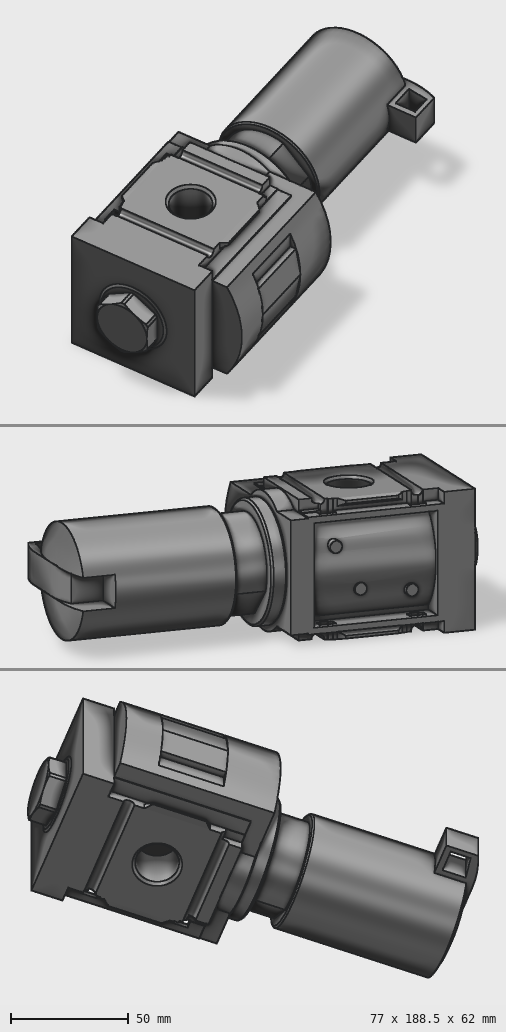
import cadquery as cq
import math


BLOCK_SIDE = 62.0
HALF = BLOCK_SIDE / 2
TOTAL_WIDTH = 77.0
TOTAL_LENGTH = 188.5
BLOCK_LENGTH = 76.3
FRONT_LENGTH = 14.1
REAR_FACE = 84.3

BRACKET_HEIGHT = 50.5
BULGE_RADIUS = TOTAL_WIDTH - HALF
CROWN_CHORD = 30.0
CROWN_TOP = 30.5

SHELF_INNER_X = 24.1
SHELF_Z = 25.8
NOTCH_INNER_X = 20.2
NOTCH_FRONT = 67.5
NOTCH_Z = 26.2

PORT_Y = 45.5
PORT_DIAMETER = 18.7
PORT_MOUTH_DIAMETER = 21.3
PORT_CHAMFER = 1.3
PORT_DEPTH = 22.6
GROOVE_RADIUS = 2.5
GROOVE_YS = (23.5, 68.0)
SLOT_YS = (24.7, 66.0)
SLOT_OUTER_X = 27.7
SLOT_INNER_X = 23.8
SLOT_LENGTH = 7.5
SLOT_RELIEF_X = 22.8
SLOT_RELIEF_LENGTH = 3.4
RAIL_LENGTH = 29.8
RAIL_TIP_X = 27.0
RAIL_BOTTOM_Z = 27.5
RAIL_TIP_BOTTOM_Z = 29.0
RAIL_TIP_TOP_Z = 30.3

WINDOW_FRONT = 17.2
WINDOW_REAR = 73.5
WINDOW_HEIGHT = 46.0
WINDOW_FLOOR_X = -20.5
DRUM_RADIUS = 29.2
STUD_DIAMETER = 5.5
STUDS = ((63.0, 11.1, -29.6), (51.5, -8.5, -29.2), (28.0, -11.1, -29.6))

FINGER_FRONT = 30.7
FINGER_REAR = 60.3
FINGER_FLOOR_X = 40.7
FINGER_LEDGE_X = 43.5
FINGER_LEDGE_Z = 13.8

PLUG_LENGTH = 8.7
PLUG_SIDES = 6
PLUG_FLATS = 25.0
PLUG_CORNER_DIAMETER = 28.0
PLUG_CHAMFER_LENGTH = 0.5
PLUG_CHAMFER_WIDTH = 1.5
COLLAR_DIAMETER = 34.0
COLLAR_TIP_DIAMETER = 31.3
COLLAR_LENGTH = 0.5

KNOB_END = TOTAL_LENGTH - PLUG_LENGTH
FLANGE_DIAMETER = 55.0
FLANGE_END = 91.6
FLANGE_CHAMFER = 1.0
NECK_DIAMETER = 44.0
NECK_FLATS = 40.0
NECK_FLAT_ANGLE = 45
GRIP_DIAMETER = 51.0
GRIP_START = 106.5
GRIP_CHAMFER = 0.8
DOME_HEIGHT = 3.2
DOME_CAP_DIAMETER = 18.8
SLIDE_START = 162.1
SLIDE_HEIGHT = 14.7
SLIDE_MIN_X = -10.7
SLIDE_MAX_X = 39.0
LOOP_MIN_X = 27.0
LOOP_MAX_X = 36.8
LOOP_START = 165.0
LOOP_INNER_END = 175.5
LOOP_OUTER_END = 174.0


def box(x0, x1, y0, y1, z0, z1):
    """Axis-parallel box between two corners."""
    return cq.Workplane("XY").box(x1 - x0, y1 - y0, z1 - z0, centered=False).translate((x0, y0, z0))


def section_at(y):
    """XZ sketch plane at a given Y whose extrusions run towards +Y; local axes are (-X, Z)."""
    return cq.Workplane(cq.Plane(origin=(0, y, 0), xDir=(-1, 0, 0), normal=(0, 1, 0)))


def on_both(feature, plane):
    """The feature together with its mirror image."""
    return feature.union(feature.mirror(plane))


def on_four_edges(feature):
    """A feature of the +X +Z edge repeated on all four long edges."""
    return on_both(on_both(feature, "YZ"), "XY")


def bracket():
    half_height = BRACKET_HEIGHT / 2
    plate = box(-HALF, HALF, BLOCK_LENGTH, REAR_FACE, -half_height, half_height)
    arm = section_at(FRONT_LENGTH).circle(BULGE_RADIUS).extrude(REAR_FACE - FRONT_LENGTH)
    arm = arm.intersect(box(HALF, BULGE_RADIUS, FRONT_LENGTH, REAR_FACE, -half_height, half_height))
    crown = (
        section_at(BLOCK_LENGTH)
        .moveTo(-CROWN_CHORD / 2, half_height)
        .threePointArc((0, CROWN_TOP), (CROWN_CHORD / 2, half_height))
        .lineTo(CROWN_CHORD / 2, 0)
        .lineTo(-CROWN_CHORD / 2, 0)
        .close()
        .extrude(REAR_FACE - BLOCK_LENGTH)
    )
    return plate.union(arm).union(on_both(crown, "XY"))


def finger_notches():
    notch = (
        section_at(FINGER_FRONT)
        .polyline([
            (-FINGER_FLOOR_X, BRACKET_HEIGHT / 2),
            (-FINGER_FLOOR_X, FINGER_LEDGE_Z),
            (-FINGER_LEDGE_X, FINGER_LEDGE_Z),
            (-BULGE_RADIUS, 0),
            (-BULGE_RADIUS, BRACKET_HEIGHT / 2),
        ])
        .close()
        .extrude(FINGER_REAR - FINGER_FRONT)
    )
    return on_both(notch, "XY")


def edge_cuts():
    shelf = box(SHELF_INNER_X, HALF, FRONT_LENGTH, BLOCK_LENGTH, SHELF_Z, HALF)
    notch = box(NOTCH_INNER_X, SHELF_INNER_X, NOTCH_FRONT, BLOCK_LENGTH, NOTCH_Z, HALF)
    return on_four_edges(shelf.union(notch))


def rails():
    start = PORT_Y - RAIL_LENGTH / 2
    rail = (
        section_at(start)
        .polyline([
            (-SHELF_INNER_X, RAIL_BOTTOM_Z),
            (-RAIL_TIP_X, RAIL_TIP_BOTTOM_Z),
            (-RAIL_TIP_X, RAIL_TIP_TOP_Z),
            (-SHELF_INNER_X, HALF),
        ])
        .close()
        .extrude(RAIL_LENGTH)
    )
    overhang = RAIL_TIP_X - SHELF_INNER_X
    plan = (
        cq.Workplane("XY")
        .polyline([
            (SHELF_INNER_X, start),
            (RAIL_TIP_X, start + overhang),
            (RAIL_TIP_X, start + RAIL_LENGTH - overhang),
            (SHELF_INNER_X, start + RAIL_LENGTH),
        ])
        .close()
        .extrude(HALF)
    )
    return on_four_edges(rail.intersect(plan))


def clamp_grooves():
    grooves = cq.Workplane("YZ", origin=(-HALF, 0, 0))
    grooves = grooves.pushPoints([(y, HALF) for y in GROOVE_YS]).circle(GROOVE_RADIUS).extrude(BLOCK_SIDE)
    return on_both(grooves, "XY")


def clamp_slots():
    """Slots through the shelves on the -X side into the window."""
    bottom = WINDOW_HEIGHT / 2
    slots = cq.Workplane("XY")
    for y in SLOT_YS:
        for inner_x, length in ((SLOT_INNER_X, SLOT_LENGTH), (SLOT_RELIEF_X, SLOT_RELIEF_LENGTH)):
            step = box(-SLOT_OUTER_X, -inner_x, y - length / 2, y + length / 2, bottom, HALF)
            slots = slots.union(step)
    return on_both(slots, "XY")


def ports():
    port = (
        cq.Workplane("XY", origin=(0, PORT_Y, HALF - PORT_DEPTH))
        .circle(PORT_DIAMETER / 2)
        .extrude(PORT_DEPTH)
    )
    mouth = cq.Workplane(
        cq.Solid.makeCone(
            PORT_MOUTH_DIAMETER / 2, PORT_DIAMETER / 2, PORT_CHAMFER,
            pnt=cq.Vector(0, PORT_Y, HALF), dir=cq.Vector(0, 0, -1),
        )
    )
    return on_both(port.union(mouth), "XY")


def window():
    """Rectangular opening that leaves the inner drum standing."""
    half_height = WINDOW_HEIGHT / 2
    opening = box(-HALF, WINDOW_FLOOR_X, WINDOW_FRONT, WINDOW_REAR, -half_height, half_height)
    drum = section_at(WINDOW_FRONT).circle(DRUM_RADIUS).extrude(WINDOW_REAR - WINDOW_FRONT)
    return opening.cut(drum)


def studs():
    pins = cq.Workplane("XY")
    for y, z, end_x in STUDS:
        pin = cq.Workplane("YZ", origin=(end_x, y, z)).circle(STUD_DIAMETER / 2)
        pins = pins.union(pin.extrude(WINDOW_FLOOR_X - end_x))
    return pins


def plug():
    half_side_angle = math.pi / PLUG_SIDES
    front = section_at(-PLUG_LENGTH)
    hexagon = front.polygon(PLUG_SIDES, PLUG_FLATS / math.cos(half_side_angle)).extrude(PLUG_LENGTH)
    hexagon = hexagon.rotate((0, 0, 0), (0, 1, 0), math.degrees(half_side_angle))
    round_bar = front.circle(PLUG_CORNER_DIAMETER / 2).extrude(PLUG_LENGTH)
    round_bar = round_bar.faces("<Y").chamfer(PLUG_CHAMFER_LENGTH, PLUG_CHAMFER_WIDTH)
    hexagon = hexagon.intersect(round_bar)
    collar = cq.Workplane(
        cq.Solid.makeCone(
            COLLAR_DIAMETER / 2, COLLAR_TIP_DIAMETER / 2, COLLAR_LENGTH,
            pnt=cq.Vector(0, 0, 0), dir=cq.Vector(0, -1, 0),
        )
    )
    return hexagon.union(collar)


def make_housing():
    block = box(-HALF, HALF, 0, BLOCK_LENGTH, -HALF, HALF)
    block = block.cut(edge_cuts()).union(rails())
    block = block.cut(clamp_grooves()).cut(window()).cut(clamp_slots()).cut(ports())
    frame = bracket().cut(finger_notches())
    return block.union(frame).union(studs()).union(plug())


def dome_radius(run):
    """Radius of the arc that leaves the flat cap smoothly and drops the dome height over this run."""
    return (run**2 + DOME_HEIGHT**2) / (2 * DOME_HEIGHT)


def grip():
    radius = GRIP_DIAMETER / 2
    cap_radius = DOME_CAP_DIAMETER / 2
    return (
        cq.Workplane("XY")
        .moveTo(0, GRIP_START)
        .lineTo(radius - GRIP_CHAMFER, GRIP_START)
        .lineTo(radius, GRIP_START + GRIP_CHAMFER)
        .lineTo(radius, KNOB_END - DOME_HEIGHT)
        .radiusArc((cap_radius, KNOB_END), -dome_radius(radius - cap_radius))
        .lineTo(0, KNOB_END)
        .close()
        .revolve(360, (0, 0, 0), (0, 1, 0))
    )


def slide():
    """Locking slide across the grip, with an open loop at its +X end."""
    centre_x = (SLIDE_MIN_X + SLIDE_MAX_X) / 2
    cap_min_x = centre_x - DOME_CAP_DIAMETER / 2
    cap_max_x = centre_x + DOME_CAP_DIAMETER / 2
    arc_radius = dome_radius(SLIDE_MAX_X - cap_max_x)
    shoulder_y = KNOB_END - DOME_HEIGHT
    plane = cq.Workplane("XY", origin=(0, 0, -SLIDE_HEIGHT / 2))
    bar = (
        plane.moveTo(SLIDE_MIN_X, SLIDE_START)
        .lineTo(SLIDE_MAX_X, SLIDE_START)
        .lineTo(SLIDE_MAX_X, shoulder_y)
        .radiusArc((cap_max_x, KNOB_END), -arc_radius)
        .lineTo(cap_min_x, KNOB_END)
        .radiusArc((SLIDE_MIN_X, shoulder_y), -arc_radius)
        .close()
        .extrude(SLIDE_HEIGHT)
    )
    loop = (
        plane.polyline([
            (LOOP_MIN_X, LOOP_START),
            (LOOP_MAX_X, LOOP_START),
            (LOOP_MAX_X, LOOP_OUTER_END),
            (LOOP_MIN_X, LOOP_INNER_END),
        ])
        .close()
        .extrude(SLIDE_HEIGHT)
    )
    return bar.cut(loop)


def make_knob():
    flange = section_at(REAR_FACE).circle(FLANGE_DIAMETER / 2).extrude(FLANGE_END - REAR_FACE)
    flange = flange.edges().chamfer(FLANGE_CHAMFER)
    neck_length = GRIP_START - FLANGE_END
    neck = section_at(FLANGE_END).circle(NECK_DIAMETER / 2).extrude(neck_length)
    flats = section_at(FLANGE_END).rect(GRIP_DIAMETER, NECK_FLATS).extrude(neck_length)
    neck = neck.intersect(flats.rotate((0, 0, 0), (0, 1, 0), NECK_FLAT_ANGLE))
    half_height = SLIDE_HEIGHT / 2
    slot = box(-GRIP_DIAMETER, GRIP_DIAMETER, SLIDE_START, KNOB_END, -half_height, half_height)
    return flange.union(neck).union(grip()).cut(slot).union(slide())


housing = make_housing()
knob = make_knob()

result = cq.Compound.makeCompound([housing.solids().val(), knob.solids().val()])